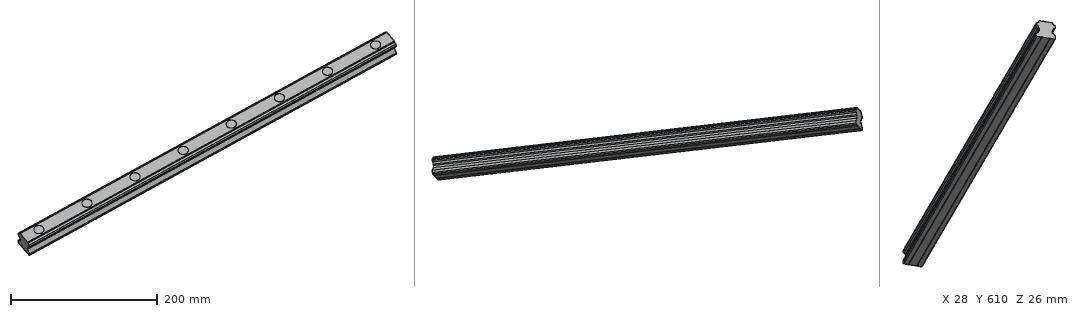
import cadquery as cq

LENGTH = 610.0
WIDTH = 28.0
HEIGHT = 26.0
HALF_WIDTH = WIDTH / 2

HOLE_COUNT = 8
HOLE_PITCH = 80.0
HOLE_DIAMETER = 14.0
CAP_RECESS = 0.3

HEAD_HALF_WIDTH = 10.1
HEAD_CHAMFER = 0.9
GROOVE_RADIUS = 2.0
UPPER_GROOVE_TOP_Z = 24.2
NOSE_TOP_Z = 21.0
NOSE_BOTTOM_Z = 19.2
NOSE_CHAMFER = 1.6
LOWER_GROOVE_INNER_X = 11.0
LOWER_GROOVE_BOTTOM_Z = 14.8

WAIST_HALF_WIDTH = 9.3
WAIST_TOP_Z = 13.4
WAIST_BOTTOM_Z = 10.3
SHOULDER_Z = 4.8
SHOULDER_CHAMFER = 0.9
BASE_CHAMFER = 1.4

NOTCH_X = 6.0
NOTCH_HALF_WIDTH = 0.4
NOTCH_DEPTH = 0.5


def right_half_profile():
    """Right half of the cross-section, closed along the centre line."""
    nose_edge_x = HALF_WIDTH - NOSE_CHAMFER
    upper_groove_end = (nose_edge_x, NOSE_TOP_Z + NOSE_CHAMFER)
    lower_groove_end = (LOWER_GROOVE_INNER_X, LOWER_GROOVE_BOTTOM_Z)
    return (
        cq.Workplane("XZ")
        .moveTo(0, HEIGHT)
        .lineTo(HEAD_HALF_WIDTH - HEAD_CHAMFER, HEIGHT)
        .lineTo(HEAD_HALF_WIDTH, HEIGHT - HEAD_CHAMFER)
        .lineTo(HEAD_HALF_WIDTH, UPPER_GROOVE_TOP_Z)
        .radiusArc(upper_groove_end, -GROOVE_RADIUS)
        .lineTo(HALF_WIDTH, NOSE_TOP_Z)
        .lineTo(HALF_WIDTH, NOSE_BOTTOM_Z)
        .lineTo(nose_edge_x, NOSE_BOTTOM_Z - NOSE_CHAMFER)
        .radiusArc(lower_groove_end, -GROOVE_RADIUS)
        .lineTo(WAIST_HALF_WIDTH, WAIST_TOP_Z)
        .lineTo(WAIST_HALF_WIDTH, WAIST_BOTTOM_Z)
        .lineTo(HALF_WIDTH - SHOULDER_CHAMFER, SHOULDER_Z + SHOULDER_CHAMFER)
        .lineTo(HALF_WIDTH, SHOULDER_Z)
        .lineTo(HALF_WIDTH, BASE_CHAMFER)
        .lineTo(HALF_WIDTH - BASE_CHAMFER, 0)
        .lineTo(NOTCH_X + NOTCH_HALF_WIDTH, 0)
        .lineTo(NOTCH_X, NOTCH_DEPTH)
        .lineTo(NOTCH_X - NOTCH_HALF_WIDTH, 0)
        .lineTo(0, 0)
        .close()
    )


def rail_body():
    right_half = right_half_profile().extrude(LENGTH / 2, both=True)
    return right_half.union(right_half.mirror("YZ"))


def cap_recesses():
    return (
        cq.Workplane("XY")
        .workplane(offset=HEIGHT - CAP_RECESS)
        .rarray(1, HOLE_PITCH, 1, HOLE_COUNT)
        .circle(HOLE_DIAMETER / 2)
        .extrude(CAP_RECESS)
    )


result = rail_body().cut(cap_recesses())